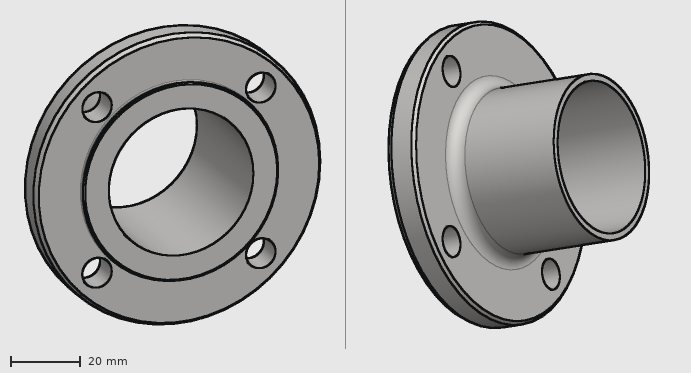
import cadquery as cq
import math

total_length = 46.5
flange_back_x = 35.0
raised_face_height = 1.8
flange_front_x = total_length - raised_face_height

bore_radius = 44.3 / 2
neck_radius = 48.3 / 2
raised_face_radius = 59.9 / 2
flange_radius = 88.0 / 2

neck_fillet = 4.0
back_chamfer = 1.0
front_chamfer_depth = 1.0
front_chamfer_angle = 30.0
front_chamfer_length = front_chamfer_depth / math.tan(math.radians(front_chamfer_angle))
raised_face_root_fillet = 0.3
raised_face_chamfer = 0.5

bolt_hole_diameter = 9.0
bolt_circle_radius = 71.0 / 2
bolt_count = 4
first_bolt_angle = 45.0

full_turn = 360.0


def fillet_arc_middle(center_x, center_radius, fillet_radius, side):
    """Middle of a quarter arc facing the axis; side is the X direction from center to arc."""
    offset = fillet_radius * math.sqrt(0.5)
    return center_x + side * offset, center_radius - offset


def make_body():
    """Revolve the neck, flange and raised face about the X axis."""
    neck_arc_middle = fillet_arc_middle(
        flange_back_x - neck_fillet, neck_radius + neck_fillet, neck_fillet, 1
    )
    root_arc_middle = fillet_arc_middle(
        flange_front_x + raised_face_root_fillet,
        raised_face_radius + raised_face_root_fillet,
        raised_face_root_fillet,
        -1,
    )
    profile = (
        cq.Workplane("XY")
        .moveTo(0, bore_radius)
        .lineTo(0, neck_radius)
        .lineTo(flange_back_x - neck_fillet, neck_radius)
        .threePointArc(neck_arc_middle, (flange_back_x, neck_radius + neck_fillet))
        .lineTo(flange_back_x, flange_radius - back_chamfer)
        .lineTo(flange_back_x + back_chamfer, flange_radius)
        .lineTo(flange_front_x - front_chamfer_length, flange_radius)
        .lineTo(flange_front_x, flange_radius - front_chamfer_depth)
        .lineTo(flange_front_x, raised_face_radius + raised_face_root_fillet)
        .threePointArc(
            root_arc_middle,
            (flange_front_x + raised_face_root_fillet, raised_face_radius),
        )
        .lineTo(total_length - raised_face_chamfer, raised_face_radius)
        .lineTo(total_length, raised_face_radius - raised_face_chamfer)
        .lineTo(total_length, bore_radius)
        .close()
    )
    return profile.revolve(full_turn, (0, 0, 0), (1, 0, 0))


def make_bolt_holes():
    """Cylinders through the flange thickness on the bolt circle."""
    return (
        cq.Workplane("YZ", origin=(flange_back_x, 0, 0))
        .polarArray(bolt_circle_radius, first_bolt_angle, full_turn, bolt_count)
        .circle(bolt_hole_diameter / 2)
        .extrude(flange_front_x - flange_back_x)
    )


result = make_body().cut(make_bolt_holes())